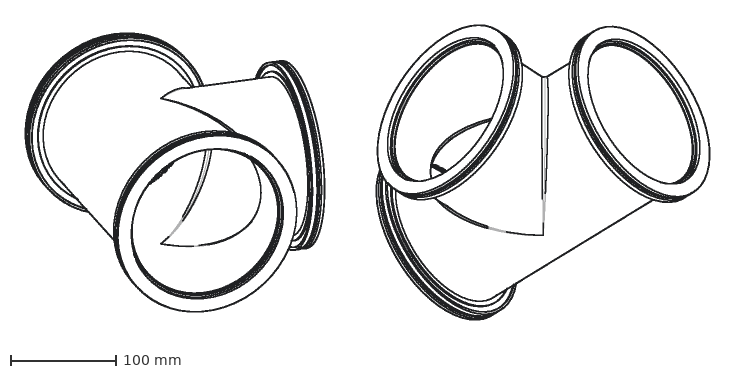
import cadquery as cq
import math

RUN_LENGTH = 266.5
BRANCH_REACH = 133.3
TUBE_OD = 152.5
TUBE_BORE = 147.0
SEAM_BEVEL_LEG = 4.3

FLANGE_OD = 180.0
FLANGE_WIDTH = 12.3
FLANGE_BORE = 149.0
RECESS_DIAMETER = 153.0
RECESS_DEPTH = 4.0
SOCKET_START = 7.0

RIM_GROOVE_START = 3.2
RIM_GROOVE_END = 7.7
RIM_GROOVE_FLOOR_WIDTH = 1.5
RIM_GROOVE_DIAMETER = 177.8

BACK_GROOVE_OD = 175.0
BACK_GROOVE_ID = 162.4
BACK_GROOVE_DEPTH = 1.5

TUBE_END_X = RUN_LENGTH / 2 - SOCKET_START
TUBE_END_Y = BRANCH_REACH - SOCKET_START


def run_cylinder(diameter):
    """Solid cylinder along X between the two flange sockets."""
    start = cq.Workplane("YZ", origin=(-TUBE_END_X, 0, 0))
    return start.circle(diameter / 2).extrude(2 * TUBE_END_X)


def branch_cylinder(diameter):
    """Solid cylinder along +Y from the run axis to the branch socket."""
    start = cq.Workplane("XZ")
    return start.circle(diameter / 2).extrude(-TUBE_END_Y)


def seam_web(diameter, side):
    """Web filling the corner between run and branch on the -X or +X side.

    The bevel shrinks with the half-width of the tubes at each height, so it is
    part of an elliptic cylinder whose axis runs at 45 degrees along the bevel.
    """
    radius = diameter / 2
    reach = radius + SEAM_BEVEL_LEG
    bevel_distance = (radius + reach) / math.sqrt(2)
    bevel_direction = (1, -side, 0)
    across = (side, 1, 0)
    plane = cq.Plane(origin=(0, 0, 0), xDir=across, normal=bevel_direction)
    cylinder = cq.Workplane(plane).ellipse(bevel_distance, radius).extrude(reach, both=True)
    corner = cq.Workplane("XY").box(reach, reach, diameter)
    corner = corner.translate((side * reach / 2, reach / 2, 0))
    return cylinder.intersect(corner)


def tee_shape(diameter):
    """Solid tee of one diameter with both seams bevelled."""
    shape = run_cylinder(diameter).union(branch_cylinder(diameter))
    for side in (-1, 1):
        shape = shape.union(seam_web(diameter, side))
    return shape


def make_tee():
    """Mitred tube tee, hollowed by a smaller tee of the same form."""
    return tee_shape(TUBE_OD).cut(tee_shape(TUBE_BORE))


def make_flange(origin, outward):
    """Flange ring whose sealing face is at origin and faces along outward."""
    inward = tuple(-component for component in outward)
    groove_slope = (RIM_GROOVE_END - RIM_GROOVE_START - RIM_GROOVE_FLOOR_WIDTH) / 2
    floor_start = RIM_GROOVE_START + groove_slope
    floor_end = RIM_GROOVE_END - groove_slope
    back_groove_floor = FLANGE_WIDTH - BACK_GROOVE_DEPTH

    section = [
        (RECESS_DIAMETER / 2, 0),
        (FLANGE_OD / 2, 0),
        (FLANGE_OD / 2, RIM_GROOVE_START),
        (RIM_GROOVE_DIAMETER / 2, floor_start),
        (RIM_GROOVE_DIAMETER / 2, floor_end),
        (FLANGE_OD / 2, RIM_GROOVE_END),
        (FLANGE_OD / 2, FLANGE_WIDTH),
        (BACK_GROOVE_OD / 2, FLANGE_WIDTH),
        (BACK_GROOVE_OD / 2, back_groove_floor),
        (BACK_GROOVE_ID / 2, back_groove_floor),
        (BACK_GROOVE_ID / 2, FLANGE_WIDTH),
        (TUBE_OD / 2, FLANGE_WIDTH),
        (TUBE_OD / 2, SOCKET_START),
        (FLANGE_BORE / 2, SOCKET_START),
        (FLANGE_BORE / 2, RECESS_DEPTH),
        (RECESS_DIAMETER / 2, RECESS_DEPTH),
    ]
    radial = (0, 0, 1)
    normal = cq.Vector(radial).cross(cq.Vector(inward))
    plane = cq.Plane(origin=origin, xDir=radial, normal=normal)
    return cq.Workplane(plane).polyline(section).close().revolve(360, (0, 0), (0, 1))


tee = make_tee()

FLANGE_PLACES = [
    ((-RUN_LENGTH / 2, 0, 0), (-1, 0, 0)),
    ((RUN_LENGTH / 2, 0, 0), (1, 0, 0)),
    ((0, BRANCH_REACH, 0), (0, 1, 0)),
]
flanges = [make_flange(origin, outward) for origin, outward in FLANGE_PLACES]

result = cq.Compound.makeCompound([tee.solids().val(), *[flange.val() for flange in flanges]])